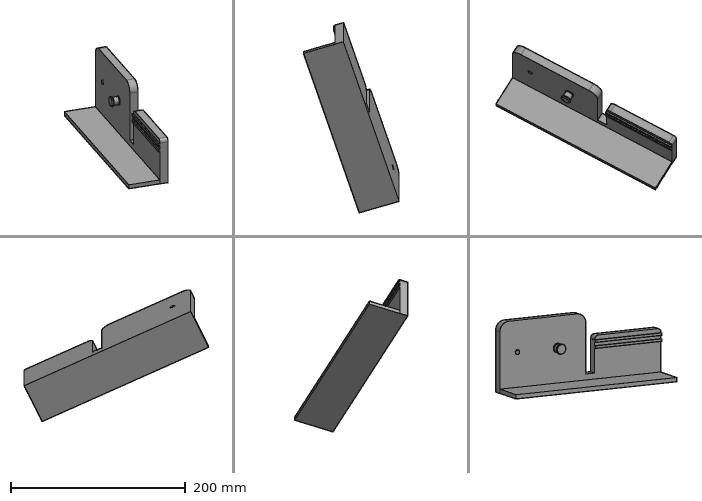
import cadquery as cq

length = 211.3
wall_thickness = 10.1
overall_height = 83.2

shelf_depth = 38.0
shelf_thickness = 5.0
shelf_left_gap = 0.1
shelf_right_gap = 0.2

tall_panel_width = 112.8
tall_panel_radius = 11.5
slot_width = 11.5
slot_floor = 12.0
low_panel_height = 56.0
low_panel_inner_radius = 5.7
low_panel_outer_radius = 4.2
low_panel_left = tall_panel_width + slot_width

rib_top = 51.0
rib_height = 3.0
rib_spacing = 7.0
rib_projection = 2.0

feature_level = 46.0
hole_x = 23.2
hole_diameter = 5.5
knob_x = 75.6
knob_base_diameter = 11.0
knob_base_length = 0.8
knob_shaft_diameter = 9.7
knob_rim_diameter = 12.3
knob_face_diameter = 11.0
knob_shaft_end = 7.0
knob_rim_start = 8.2
knob_length = 9.7


def block(left, right, front, back, bottom, top):
    """Box given by its limits along X, Y and Z."""
    size = (right - left, back - front, top - bottom)
    return cq.Workplane("XY").box(*size, centered=False).translate((left, front, bottom))


def make_tall_panel():
    panel = block(0, tall_panel_width, 0, wall_thickness, 0, overall_height)
    panel = panel.edges("|Y and >Z").fillet(tall_panel_radius)
    hole = (
        cq.Workplane("XZ", origin=(hole_x, 0, feature_level))
        .circle(hole_diameter / 2)
        .extrude(-wall_thickness)
    )
    return panel.cut(hole)


def make_low_panel():
    panel = block(low_panel_left, length, 0, wall_thickness, 0, low_panel_height)
    panel = panel.edges("|Y and >Z and <X").fillet(low_panel_inner_radius)
    return panel.edges("|Y and >Z and >X").fillet(low_panel_outer_radius)


def make_rib(top):
    return block(low_panel_left, length, -rib_projection, wall_thickness / 2, top - rib_height, top)


def make_knob():
    """Turned knob: tapered base, straight shaft, flared rim and bevelled face, pointing along -Y."""
    profile = [
        (0, -wall_thickness / 2),
        (knob_base_diameter / 2, -wall_thickness / 2),
        (knob_base_diameter / 2, 0),
        (knob_shaft_diameter / 2, knob_base_length),
        (knob_shaft_diameter / 2, knob_shaft_end),
        (knob_rim_diameter / 2, knob_rim_start),
        (knob_face_diameter / 2, knob_length),
        (0, knob_length),
    ]
    return (
        cq.Workplane("XY")
        .polyline(profile)
        .close()
        .revolve(360, (0, 0, 0), (0, 1, 0))
        .rotate((0, 0, 0), (1, 0, 0), 180)
        .translate((knob_x, 0, feature_level))
    )


shelf_right = length - shelf_right_gap
shelf = block(shelf_left_gap, shelf_right, -shelf_depth, wall_thickness / 2, 0, shelf_thickness)
slot_base = block(tall_panel_width, low_panel_left, 0, wall_thickness, 0, slot_floor)

result = make_tall_panel().union(slot_base).union(make_low_panel()).union(shelf).union(make_knob())
for index in range(2):
    result = result.union(make_rib(rib_top - index * rib_spacing))